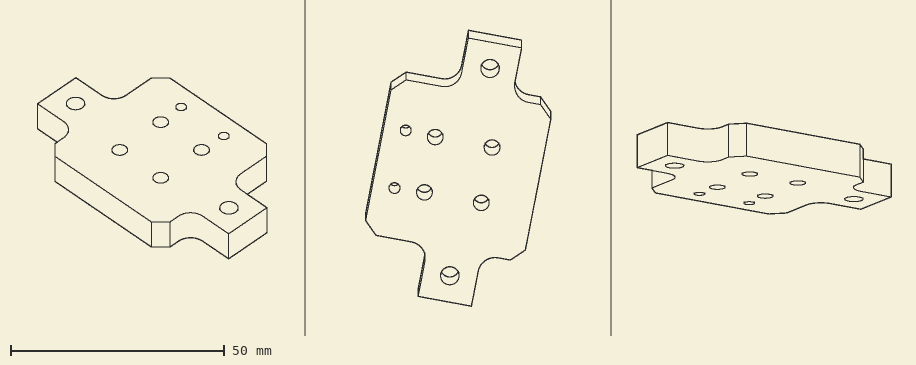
import cadquery as cq

total_length = 63.25
body_size = 38.1
thickness = 8.0
corner_chamfer = 3.05

ear_width = 12.7
ear_center_y = -2.8
ear_fillet = 4.0
ear_hole_diameter = 4.3
ear_hole_spacing = 50.7

center_hole_diameter = 3.65
center_hole_spacing = 13.55

small_hole_diameter = 2.5
small_hole_spacing = 14.1
small_hole_y = 13.85


def drill(plate, points, diameter):
    """Cut through holes of one diameter at the given XY points."""
    drills = (
        cq.Workplane("XY")
        .pushPoints(points)
        .circle(diameter / 2)
        .extrude(thickness)
    )
    return plate.cut(drills)


body = (
    cq.Workplane("XY")
    .rect(body_size, body_size)
    .extrude(thickness)
    .edges("|Z")
    .chamfer(corner_chamfer)
)

ear_bar = (
    cq.Workplane("XY")
    .center(0, ear_center_y)
    .rect(total_length, ear_width)
    .extrude(thickness)
)
plate = body.union(ear_bar)

inside_corners = [
    (side * body_size / 2, ear_center_y + end * ear_width / 2, thickness / 2)
    for side in (-1, 1)
    for end in (-1, 1)
]
for corner in inside_corners:
    corner_edge = cq.selectors.NearestToPointSelector(corner)
    plate = plate.edges(corner_edge).fillet(ear_fillet)

ear_points = [(side * ear_hole_spacing / 2, ear_center_y) for side in (-1, 1)]
center_points = [
    (x_side * center_hole_spacing / 2, y_side * center_hole_spacing / 2)
    for x_side in (-1, 1)
    for y_side in (-1, 1)
]
small_points = [(side * small_hole_spacing / 2, small_hole_y) for side in (-1, 1)]

plate = drill(plate, ear_points, ear_hole_diameter)
plate = drill(plate, center_points, center_hole_diameter)
result = drill(plate, small_points, small_hole_diameter)